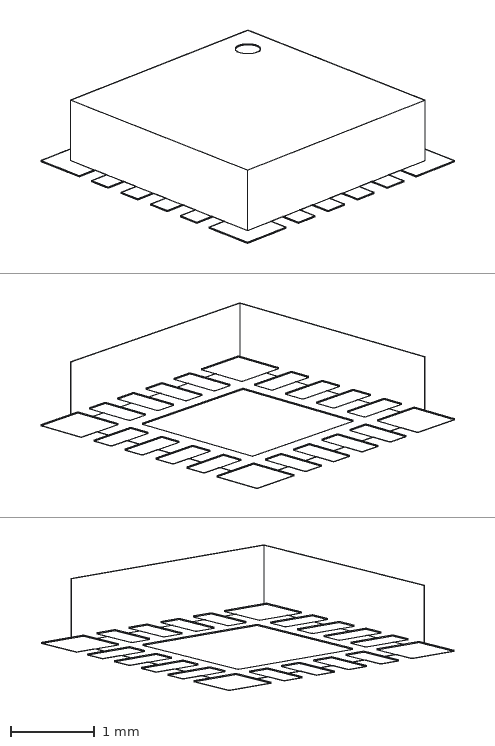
import cadquery as cq

footprint = 3.5
total_height = 0.8

body_side = 3.0
pad_thickness = 0.015
body_height = total_height - pad_thickness

lead_pitch = 0.5
lead_width = 0.28
leads_per_side = 4
pad_length = 0.65
lead_span = (leads_per_side - 1) * lead_pitch + lead_width
center_pad_side = lead_span

marker_diameter = 0.3
marker_inset = 0.4
marker_depth = 0.015


def make_body():
    """Square body standing on top of the pads, with the pin 1 recess."""
    body = (
        cq.Workplane("XY")
        .workplane(offset=pad_thickness)
        .rect(body_side, body_side)
        .extrude(body_height)
    )
    marker_offset = body_side / 2 - marker_inset
    marker = (
        cq.Workplane("XY")
        .workplane(offset=total_height - marker_depth)
        .center(-marker_offset, marker_offset)
        .circle(marker_diameter / 2)
        .extrude(marker_depth)
    )
    return body.cut(marker)


def make_pads(centers, size_x, size_y):
    """Identical rectangular pads resting on Z = 0."""
    return cq.Workplane("XY").pushPoints(centers).rect(size_x, size_y).extrude(pad_thickness)


pad_center = (footprint - pad_length) / 2
edges = [-pad_center, pad_center]
lead_positions = [(i - (leads_per_side - 1) / 2) * lead_pitch for i in range(leads_per_side)]

corner_pads = make_pads([(x, y) for x in edges for y in edges], pad_length, pad_length)
leads_along_x = make_pads([(x, y) for x in lead_positions for y in edges], lead_width, pad_length)
leads_along_y = make_pads([(x, y) for x in edges for y in lead_positions], pad_length, lead_width)
center_pad = make_pads([(0, 0)], center_pad_side, center_pad_side)

result = (
    make_body()
    .union(corner_pads)
    .union(leads_along_x)
    .union(leads_along_y)
    .union(center_pad)
)